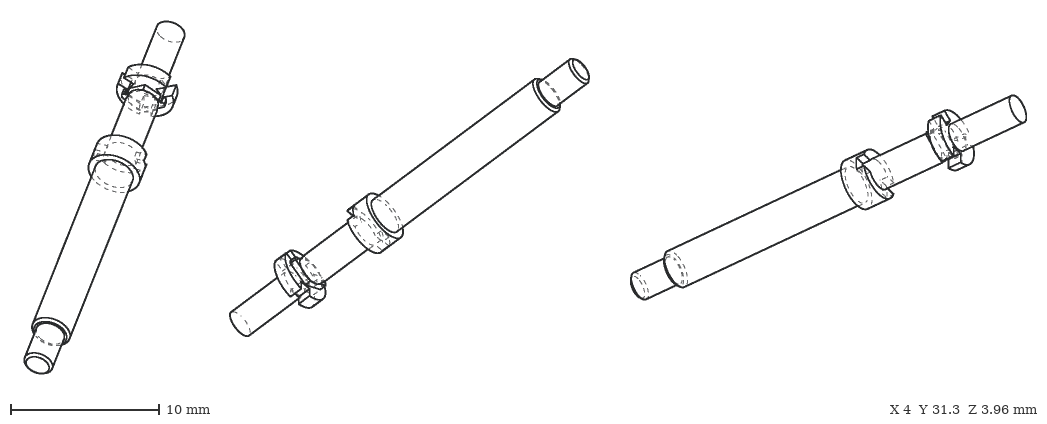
import cadquery as cq
import math

length = 31.3

tip_radius = 1.0
body_radius = 1.35
collar_radius = 1.8
neck_radius = 1.13
neck_end_radius = 1.05
flange_radius = 2.0
tail_radius = 1.0

tip_length = 2.97
collar_length = 1.85
neck_taper_length = 0.4
hub_length = 0.47
flange_length = 1.0
tail_length = 5.0
collar_depth_from_tail = 11.45
edge_chamfer = 0.2

flange_end = length - tail_length
hub_end = flange_end - flange_length
neck_end = hub_end - hub_length
collar_end = length - collar_depth_from_tail
collar_start = collar_end - collar_length

hub_flat_distance = 0.95
hub_flat_angle = 33.0
hub_tip_radius = 1.5

keyway_width = 0.8
keyway_floor = 1.15
keyway_angles = (30, 150, 270)

notch_width = 1.03
notch_depth = 0.6


def cylinder(radius, start, end):
    """Round section on the Y axis."""
    disc = cq.Workplane("XZ", origin=(0, start, 0)).circle(radius)
    return disc.extrude(start - end)


def make_tip():
    return cylinder(tip_radius, 0, tip_length).faces("<Y").chamfer(edge_chamfer)


def make_body():
    return cylinder(body_radius, tip_length, collar_start).faces("<Y").chamfer(edge_chamfer)


def make_collar():
    collar = cylinder(collar_radius, collar_start, collar_end)
    notch = cq.Workplane("XY").box(2 * collar_radius, notch_depth, notch_width)
    return collar.cut(notch.translate((0, collar_end - notch_depth / 2, 0)))


def make_neck():
    """Round neck that tapers slightly just before the hub."""
    taper_start = neck_end - neck_taper_length
    profile = (
        cq.Workplane("XY")
        .moveTo(0, collar_start)
        .lineTo(neck_radius, collar_start)
        .lineTo(neck_radius, taper_start)
        .lineTo(neck_end_radius, neck_end)
        .lineTo(0, neck_end)
        .close()
    )
    return profile.revolve(360, (0, 0, 0), (0, 1, 0))


def make_hub():
    """Rhombus of four flats trimmed to a round tip on each side."""
    slope = math.radians(hub_flat_angle)
    half_width = hub_flat_distance / math.sin(slope)
    half_height = hub_flat_distance / math.cos(slope)
    rhombus = (
        cq.Workplane("XZ", origin=(0, neck_end, 0))
        .polyline([(half_width, 0), (0, half_height), (-half_width, 0), (0, -half_height)])
        .close()
        .extrude(-hub_length)
    )
    return rhombus.intersect(cylinder(hub_tip_radius, neck_end, hub_end))


def make_keyway(angle):
    """Cutter for one flat-floored keyway, open outwards."""
    height = flange_radius
    span = hub_length + flange_length
    cutter = cq.Workplane("XY").box(height, span, keyway_width)
    cutter = cutter.translate((keyway_floor + height / 2, neck_end + span / 2, 0))
    return cutter.rotate((0, 0, 0), (0, 1, 0), -angle)


def make_flange_and_hub():
    head = cylinder(flange_radius, hub_end, flange_end).union(make_hub())
    for angle in keyway_angles:
        head = head.cut(make_keyway(angle))
    return head


result = (
    make_tip()
    .union(make_body())
    .union(make_collar())
    .union(make_neck())
    .union(make_flange_and_hub())
    .union(cylinder(tail_radius, flange_end, length))
)